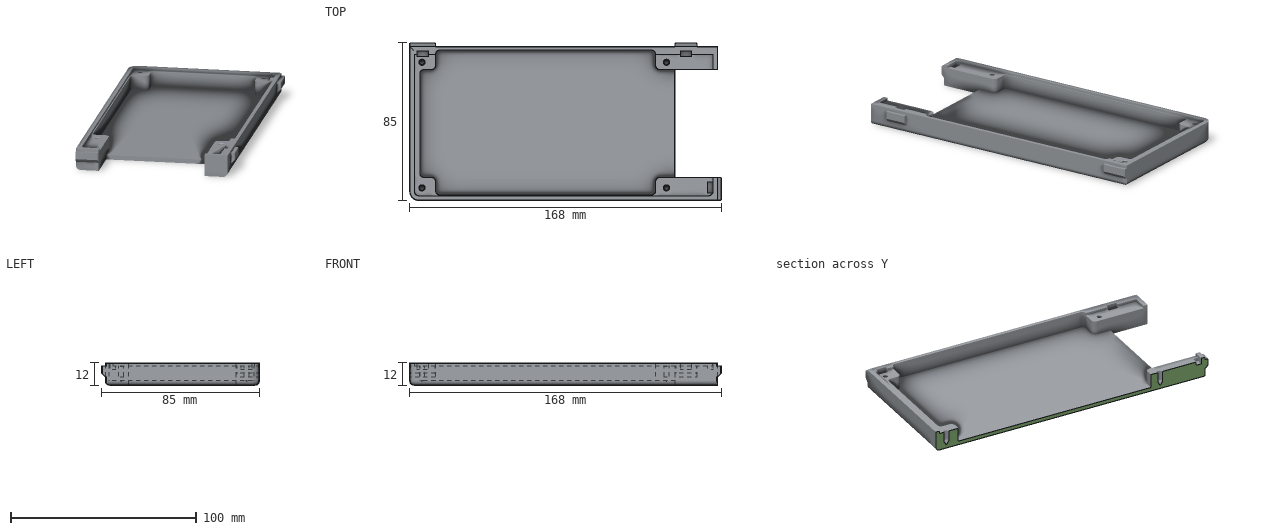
import cadquery as cq
import math

BODY_LENGTH = 166.0
BODY_WIDTH = 83.0
HEIGHT = 12.0
CORNER_RADIUS = 5.0
EDGE_CHAMFER = 0.5
BOTTOM_FILLET = 2.5

FLOOR_THICKNESS = 2.5
FRONT_WALL = 3.0
BACK_WALL = 2.0
LEFT_WALL = 5.5
PAD_WIDTH = 12.5
PAD_LENGTH = 14.0
ARM_START_X = 132.5
FLOOR_END_X = 143.0
CAVITY_RADIUS = 2.0
PAD_RADIUS = 2.5
SELECT_MARGIN = 0.1

RECESS_DEPTH = 1.5
RIM = 2.5
BACK_RIM = 4.2
RECESS_RADIUS = CORNER_RADIUS - RIM
RECESS_Z = HEIGHT - RECESS_DEPTH

HOLE_DIAMETER = 2.7
HOLE_CHAMFER = 0.3
HOLE_DEPTH = 6.0
HOLE_TIP_ANGLE = 60.0
HOLE_X = (6.6, 138.4)
HOLE_Y = (6.8, 74.5)

TAB_REACH = 2.0
TAB_TOP_Z = RECESS_Z
TAB_FACE_HEIGHT = 4.0
BACK_TABS = ((0.0, 14.0), (143.0, 155.0))

POCKET_LENGTH = 6.0
POCKET_WIDTH = 3.0
POCKET_DEPTH = 2.0
POCKET_INSET = 4.0
BACK_POCKET_Y = BODY_WIDTH - POCKET_INSET
END_POCKET_X = BODY_LENGTH - POCKET_INSET
END_POCKET_Y = 7.0


def block(x_range, y_range, z_range):
    """Axis-aligned box spanning the given ranges."""
    size = [high - low for low, high in (x_range, y_range, z_range)]
    corner = (x_range[0], y_range[0], z_range[0])
    return cq.Workplane("XY").box(*size, centered=False).translate(corner)


def make_body():
    """Solid tray blank: one round corner, rounded bottom edges, two chamfered corners."""
    body = block((0, BODY_LENGTH), (0, BODY_WIDTH), (0, HEIGHT))
    body = body.edges("|Z and <X and <Y").fillet(CORNER_RADIUS)
    body = body.faces("<Z").edges("not >X").fillet(BOTTOM_FILLET)
    for x, y in ((0, BODY_WIDTH), (BODY_LENGTH, 0)):
        corner_cut = cq.Workplane("XY").center(x, y).polygon(4, 2 * EDGE_CHAMFER).extrude(HEIGHT)
        body = body.cut(corner_cut)
    return body


def make_cavity():
    """Main pocket: a wide middle plus a narrower run between the corner pads."""
    z_range = (FLOOR_THICKNESS, HEIGHT)
    between_pads = (PAD_WIDTH, BODY_WIDTH - PAD_WIDTH)
    middle = block((PAD_LENGTH, ARM_START_X), (FRONT_WALL, BODY_WIDTH - BACK_WALL), z_range)
    run = block((LEFT_WALL, BODY_LENGTH), between_pads, z_range)
    middle = middle.edges("|Z").fillet(CAVITY_RADIUS)
    run = run.edges("|Z and <X").fillet(CAVITY_RADIUS)
    cavity = middle.union(run)
    pad_corners = cq.selectors.BoxSelector(
        (PAD_LENGTH - SELECT_MARGIN, PAD_WIDTH - SELECT_MARGIN, 0),
        (ARM_START_X + SELECT_MARGIN, BODY_WIDTH - PAD_WIDTH + SELECT_MARGIN, HEIGHT),
    )
    return cavity.edges("|Z").edges(pad_corners).fillet(PAD_RADIUS)


def make_end_opening():
    """Gap between the two arms, open through the floor."""
    between_arms = (PAD_WIDTH, BODY_WIDTH - PAD_WIDTH)
    return block((FLOOR_END_X, BODY_LENGTH), between_arms, (0, HEIGHT))


def make_recess():
    """Shallow step that leaves a raised rim around the tray."""
    recess = block((RIM, BODY_LENGTH - RIM), (RIM, BODY_WIDTH - BACK_RIM), (RECESS_Z, HEIGHT))
    return recess.edges("|Z and <Y").fillet(RECESS_RADIUS)


def cut_screw_holes(part):
    """One blind hole per pad, chamfered at the mouth and pointed at the bottom."""
    points = [(x, y) for x in HOLE_X for y in HOLE_Y]
    pad_tops = cq.Workplane("XY").workplane(offset=RECESS_Z).pushPoints(points)
    radius = HOLE_DIAMETER / 2
    tip_height = radius / math.tan(math.radians(HOLE_TIP_ANGLE / 2))
    profile = [
        (0, 0),
        (radius + HOLE_CHAMFER, 0),
        (radius, -HOLE_CHAMFER),
        (radius, -HOLE_DEPTH),
        (0, -HOLE_DEPTH - tip_height),
    ]
    drill = cq.Workplane("XZ").polyline(profile).close().revolve(360, (0, 0), (0, 1))
    return part.cut(pad_tops.eachpoint(lambda place: drill.val().moved(place)))


def make_tab(length):
    """Snap tab along +X reaching out in +Y, rooted in the wall to fill the corner chamfer."""
    face_bottom = TAB_TOP_Z - TAB_FACE_HEIGHT
    root_z = face_bottom - TAB_REACH
    profile = [
        (-EDGE_CHAMFER, TAB_TOP_Z),
        (TAB_REACH, TAB_TOP_Z),
        (TAB_REACH, face_bottom),
        (0, root_z),
        (-EDGE_CHAMFER, root_z),
    ]
    tab = cq.Workplane("YZ").polyline(profile).close().extrude(length)
    return tab.faces(">Y").edges("|Z").chamfer(EDGE_CHAMFER)


def add_tabs(part):
    """Two tabs on the back wall and one on the end of the front arm."""
    for start, end in BACK_TABS:
        part = part.union(make_tab(end - start).translate((start, BODY_WIDTH, 0)))
    end_tab = make_tab(PAD_WIDTH).rotate((0, 0, 0), (0, 0, 1), -90)
    return part.union(end_tab.translate((BODY_LENGTH, PAD_WIDTH, 0)))


def make_pocket(x, y, x_size, y_size):
    """Pocket centred on (x, y), sunk below the recess and open at the top."""
    x_range = (x - x_size / 2, x + x_size / 2)
    y_range = (y - y_size / 2, y + y_size / 2)
    return block(x_range, y_range, (RECESS_Z - POCKET_DEPTH, HEIGHT))


def cut_pockets(part):
    """One pocket behind the middle of each back tab and one by the end tab."""
    for start, end in BACK_TABS:
        part = part.cut(make_pocket((start + end) / 2, BACK_POCKET_Y, POCKET_LENGTH, POCKET_WIDTH))
    return part.cut(make_pocket(END_POCKET_X, END_POCKET_Y, POCKET_WIDTH, POCKET_LENGTH))


tray = make_body().cut(make_cavity()).cut(make_end_opening()).cut(make_recess())
tray = cut_screw_holes(tray)
tray = add_tabs(tray)
result = cut_pockets(tray)